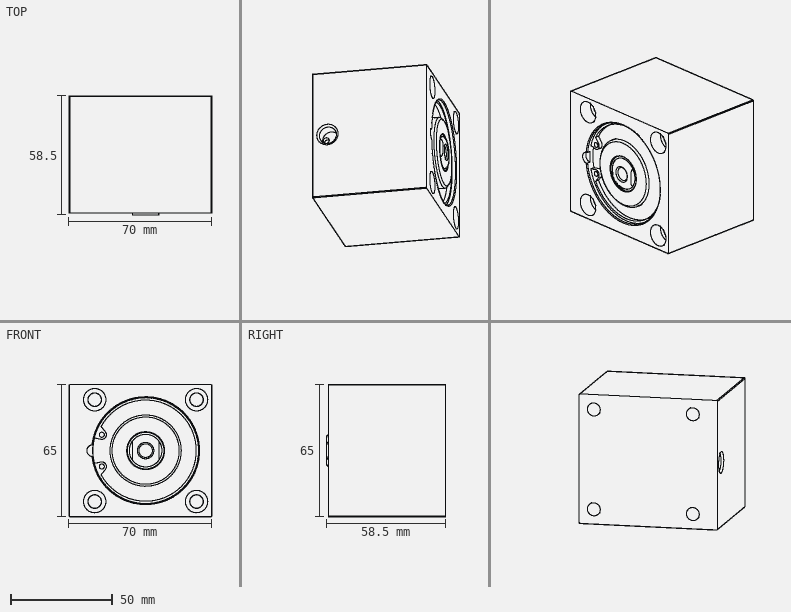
import cadquery as cq
import math


left_edge = -37.5
right_edge = 32.5
housing_height = 65.0
housing_length = 57.5
long_edge_break = 0.4

mount_spacing = 50.0
mount_hole_dia = 6.5
counterbore_dia = 11.0
counterbore_depth = 6.8

bore_dia = 52.0
bore_depth = 20.0
bore_chamfer = 0.5

notch_radius = 2.85
notch_offset = bore_dia / 2

port_from_back = 7.5
port_dia = 8.57
port_depth = 8.0
port_chamfer = 1.1
feed_from_back = 5.0
feed_dia = 3.0
feed_depth = 3.0
drill_point_angle = 118.0

gland_dia = 51.8
gland_face_depth = 4.15
boss_dia = 35.0
boss_chamfer = 1.0
boss_root_fillet = 0.5

ring_thickness = 2.0
ring_front_depth = gland_face_depth - ring_thickness
ring_inner_radius = 24.85
ring_outer_radius = bore_dia / 2
ring_end_angle = 13.9
lug_x = -21.5
lug_z = 7.8
lug_radius = 2.25
lug_hole_dia = 2.5
lug_root_angle = 28.5

wiper_dia = 18.0
wiper_depth = 0.4
wiper_chamfer = 0.3

rod_dia = 16.0
rod_projection = 1.0
rod_tip_fillet = 1.6
flat_width = 13.0
flat_length = 4.0
rod_thread_dia = 6.65
rod_thread_depth = 12.0
rod_thread_chamfer = 0.7


def disc(diameter, start, end):
    """Cylinder on the rod axis from Y = start to Y = end."""
    plane = cq.Workplane("XZ", origin=(0, start, 0))
    return plane.circle(diameter / 2).extrude(start - end)


def cone(start_dia, end_dia, start, end):
    """Truncated cone on the rod axis from Y = start to Y = end."""
    profile = [(0, start), (start_dia / 2, start), (end_dia / 2, end), (0, end)]
    return cq.Workplane("XY").polyline(profile).close().revolve(360, (0, 0), (0, 1))


def mouth_chamfer(diameter, size, start):
    """Conical cutter for the mouth of an axial hole."""
    return cone(diameter + 2 * size, diameter, start, start + size)


def polar(radius, angle):
    """Point (X, Z) at a radius from the rod axis and an angle above the -X direction."""
    a = math.radians(angle)
    return (-radius * math.cos(a), radius * math.sin(a))


def build_block():
    width = right_edge - left_edge
    block = (
        cq.Workplane("XY")
        .box(width, housing_length, housing_height)
        .translate(((left_edge + right_edge) / 2, housing_length / 2, 0))
    )
    return block.edges("|Y").chamfer(long_edge_break)


def cut_mounting_holes(body):
    holes = (
        cq.Workplane("XZ")
        .rect(mount_spacing, mount_spacing, forConstruction=True)
        .vertices()
    )
    through = holes.circle(mount_hole_dia / 2).extrude(-housing_length)
    counterbores = holes.circle(counterbore_dia / 2).extrude(-counterbore_depth)
    return body.cut(through).cut(counterbores)


def cut_bore(body):
    """Blind bore for the gland, and a shallow release notch in its rim down to the ring."""
    body = body.cut(disc(bore_dia, 0, bore_depth))
    body = body.cut(mouth_chamfer(bore_dia, bore_chamfer, 0))
    notch = (
        cq.Workplane("XZ")
        .center(-notch_offset, 0)
        .circle(notch_radius)
        .extrude(-ring_front_depth)
    )
    return body.cut(notch)


def cut_port(body):
    """Side port with a small blind feed hole in its floor, both along +X."""
    port_y = housing_length - port_from_back
    feed_y = housing_length - feed_from_back
    port_radius = port_dia / 2
    feed_radius = feed_dia / 2
    point_length = feed_radius / math.tan(math.radians(drill_point_angle / 2))
    port_floor = left_edge + port_depth
    feed_end = port_floor + feed_depth
    port_profile = [
        (left_edge, port_y),
        (left_edge, port_y + port_radius + port_chamfer),
        (left_edge + port_chamfer, port_y + port_radius),
        (port_floor, port_y + port_radius),
        (port_floor, port_y),
    ]
    feed_profile = [
        (port_floor, feed_y),
        (port_floor, feed_y + feed_radius),
        (feed_end, feed_y + feed_radius),
        (feed_end + point_length, feed_y),
    ]
    for profile, axis_y in ((port_profile, port_y), (feed_profile, feed_y)):
        cutter = cq.Workplane("XY").polyline(profile).close()
        body = body.cut(cutter.revolve(360, (left_edge, axis_y), (right_edge, axis_y)))
    return body


def build_housing():
    return cut_port(cut_bore(cut_mounting_holes(build_block())))


def tangent_point(point, side):
    """Where the line from point touches the upper lug circle; side is 1 or -1."""
    dx = point[0] - lug_x
    dz = point[1] - lug_z
    angle = math.atan2(dz, dx) + side * math.acos(lug_radius / math.hypot(dx, dz))
    return (lug_x + lug_radius * math.cos(angle), lug_z + lug_radius * math.sin(angle))


def mirrored(point):
    """The same point on the other side of the XY plane."""
    return (point[0], -point[1])


def build_retaining_ring():
    """C-shaped ring open towards -X, with an eyed lug at each end."""
    ring_end = polar(ring_outer_radius, ring_end_angle)
    lug_start = tangent_point(ring_end, 1)
    lug_root = polar(ring_inner_radius, lug_root_angle)
    lug_finish = tangent_point(lug_root, -1)
    lug_side = (lug_x + lug_radius, lug_z)
    plane = cq.Workplane("XZ", origin=(0, ring_front_depth, 0))
    ring = (
        plane.moveTo(*ring_end)
        .lineTo(*lug_start)
        .threePointArc(lug_side, lug_finish)
        .lineTo(*lug_root)
        .threePointArc((ring_inner_radius, 0), mirrored(lug_root))
        .lineTo(*mirrored(lug_finish))
        .threePointArc(mirrored(lug_side), mirrored(lug_start))
        .lineTo(*mirrored(ring_end))
        .threePointArc((ring_outer_radius, 0), ring_end)
        .close()
        .extrude(-ring_thickness)
    )
    lug_holes = plane.pushPoints([(lug_x, lug_z), (lug_x, -lug_z)]).circle(lug_hole_dia / 2)
    return ring.cut(lug_holes.extrude(-ring_thickness))


def build_gland():
    boss_radius = boss_dia / 2
    gland_radius = gland_dia / 2
    fillet_top = gland_face_depth - boss_root_fillet
    fillet_mid = boss_root_fillet * (1 - math.sqrt(0.5))
    gland = (
        cq.Workplane("XY")
        .moveTo(0, 0)
        .lineTo(boss_radius - boss_chamfer, 0)
        .lineTo(boss_radius, boss_chamfer)
        .lineTo(boss_radius, fillet_top)
        .threePointArc(
            (boss_radius + fillet_mid, gland_face_depth - fillet_mid),
            (boss_radius + boss_root_fillet, gland_face_depth),
        )
        .lineTo(gland_radius, gland_face_depth)
        .lineTo(gland_radius, bore_depth)
        .lineTo(0, bore_depth)
        .close()
        .revolve(360, (0, 0), (0, 1))
    )
    gland = gland.cut(disc(rod_dia, 0, bore_depth))
    gland = gland.cut(disc(wiper_dia, 0, wiper_depth))
    gland = gland.cut(mouth_chamfer(wiper_dia, wiper_chamfer, 0))
    return gland.union(build_retaining_ring())


def build_rod():
    rod = disc(rod_dia, -rod_projection, bore_depth)
    rod = rod.faces("<Y").edges().fillet(rod_tip_fillet)
    flat_depth = (rod_dia - flat_width) / 2
    flat_end = flat_length - rod_projection
    for side in (-1, 1):
        flat = (
            cq.Workplane("XY")
            .polyline([
                (side * flat_width / 2, -rod_projection),
                (side * flat_width / 2, flat_end),
                (side * rod_dia / 2, flat_end + flat_depth),
                (side * rod_dia / 2, -rod_projection),
            ])
            .close()
            .extrude(rod_dia / 2, both=True)
        )
        rod = rod.cut(flat)
    rod = rod.cut(disc(rod_thread_dia, -rod_projection, rod_thread_depth))
    return rod.cut(mouth_chamfer(rod_thread_dia, rod_thread_chamfer, -rod_projection))


housing = build_housing()
gland = build_gland()
rod = build_rod()

result = cq.Compound.makeCompound([housing.val(), gland.val(), rod.val()])